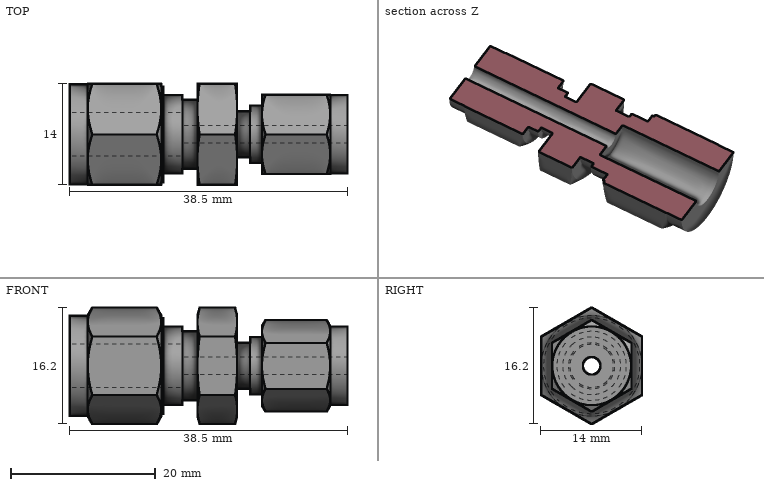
import cadquery as cq
import math


LARGE_CAP_END = 2.5
LARGE_NUT_END = 12.7
LARGE_WASHER_END = 13.0
LARGE_COLLAR_END = 15.6
LARGE_NECK_END = 17.7
BODY_HEX_END = 23.2
SMALL_NECK_END = 25.0
SMALL_COLLAR_END = 26.6
SMALL_NUT_END = 36.1
TOTAL_LENGTH = 38.5

LARGE_HEX = 14.0
SMALL_HEX = 11.0

LARGE_CAP_DIAMETER = 13.93
LARGE_WASHER_DIAMETER = 13.3
LARGE_COLLAR_DIAMETER = 10.9
LARGE_NECK_DIAMETER = 9.6
SMALL_NECK_DIAMETER = 6.4
SMALL_COLLAR_DIAMETER = 8.0
SMALL_CAP_DIAMETER = 10.9

NUT_CHAMFER_ANGLE = 30.0
BODY_CHAMFER_ANGLE = 15.0

TUBE_SOCKET_DIAMETER = 6.0
TUBE_SOCKET_DEPTH = LARGE_COLLAR_END
THROUGH_BORE_DIAMETER = 2.4


def cylinder(start, end, diameter):
    """Round section along X."""
    return cq.Workplane("YZ", origin=(start, 0, 0)).circle(diameter / 2).extrude(end - start)


def chamfered_hex(start, end, across_flats, chamfer_angle, face_diameter):
    """Hexagon along X, corners up and down, both ends cut back by a cone."""
    corner_radius = across_flats / math.sqrt(3)
    face_radius = face_diameter / 2
    setback = (corner_radius - face_radius) * math.tan(math.radians(chamfer_angle))
    prism = (
        cq.Workplane("YZ", origin=(start, 0, 0))
        .polygon(6, 2 * corner_radius)
        .extrude(end - start)
        .rotate((0, 0, 0), (1, 0, 0), 90)
    )
    envelope = (
        cq.Workplane("XY")
        .moveTo(start, 0)
        .lineTo(start, face_radius)
        .lineTo(start + setback, corner_radius)
        .lineTo(end - setback, corner_radius)
        .lineTo(end, face_radius)
        .lineTo(end, 0)
        .close()
        .revolve(360, (0, 0, 0), (1, 0, 0))
    )
    return prism.intersect(envelope)


def large_end():
    """Nut with its round cap and washer face, then the collar and neck behind it."""
    cap = cylinder(0, LARGE_CAP_END, LARGE_CAP_DIAMETER)
    nut = chamfered_hex(LARGE_CAP_END, LARGE_NUT_END, LARGE_HEX, NUT_CHAMFER_ANGLE, LARGE_CAP_DIAMETER)
    washer = cylinder(LARGE_NUT_END, LARGE_WASHER_END, LARGE_WASHER_DIAMETER)
    collar = cylinder(LARGE_WASHER_END, LARGE_COLLAR_END, LARGE_COLLAR_DIAMETER)
    neck = cylinder(LARGE_COLLAR_END, LARGE_NECK_END, LARGE_NECK_DIAMETER)
    return cap.union(nut).union(washer).union(collar).union(neck)


def small_end():
    """Neck and collar leading to the small nut with its round cap."""
    neck = cylinder(BODY_HEX_END, SMALL_NECK_END, SMALL_NECK_DIAMETER)
    collar = cylinder(SMALL_NECK_END, SMALL_COLLAR_END, SMALL_COLLAR_DIAMETER)
    nut = chamfered_hex(SMALL_COLLAR_END, SMALL_NUT_END, SMALL_HEX, NUT_CHAMFER_ANGLE, SMALL_CAP_DIAMETER)
    cap = cylinder(SMALL_NUT_END, TOTAL_LENGTH, SMALL_CAP_DIAMETER)
    return neck.union(collar).union(nut).union(cap)


body_hex = chamfered_hex(LARGE_NECK_END, BODY_HEX_END, LARGE_HEX, BODY_CHAMFER_ANGLE, LARGE_CAP_DIAMETER)
tube_socket = cylinder(0, TUBE_SOCKET_DEPTH, TUBE_SOCKET_DIAMETER)
through_bore = cylinder(0, TOTAL_LENGTH, THROUGH_BORE_DIAMETER)

result = large_end().union(body_hex).union(small_end()).cut(tube_socket).cut(through_bore)